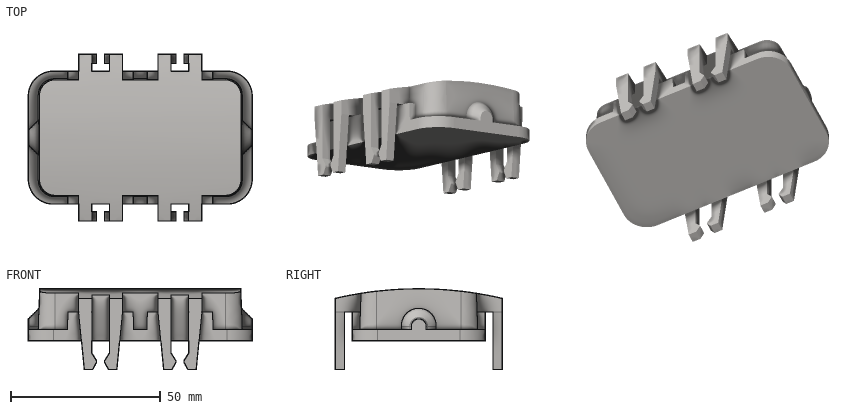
import cadquery as cq

flange_length = 75.2
flange_width = 44.7
flange_height = 3.75
flange_corner_radius = 8.5

body_length = 68.4
body_width = 39.55
body_corner_radius = 5.6
body_draft = 2

crown_height = 17.5
roof_edge_height = 14.3
overall_width = 56.0

clip_offset = 13.3
arm_outer = 7.4
arm_inner = 2.9
arm_underside = 9.6
leg_thickness = 3.15
leg_bottom = -9.6
foot_outer = 5.5
foot_inner = 2.6
barb_reach = 1.3
barb_start = -4.05
barb_tip_center = -6.9
barb_tip_flat = 0.4

tooth_base = 11.1
tooth_top = 10.9

stud_axis_height = 4.9
stud_root_radius = 5.9
stud_root = 34.15
stud_shoulder_radius = 2.9
stud_shoulder = 37.1
stud_tip_radius = 2.5
stud_tip = flange_length / 2

flange_edge = flange_width / 2
clip_edge = overall_width / 2
roof_rise = crown_height - roof_edge_height
roof_radius = (clip_edge**2 + roof_rise**2) / (2 * roof_rise)


def extrude_y(points, y_start, y_end):
    """Extrude a closed XZ outline between two Y positions."""
    outline = cq.Workplane("XZ", origin=(0, y_end, 0)).polyline(points).close()
    return outline.extrude(y_end - y_start)


def make_flange():
    blank = cq.Workplane("XY").box(flange_length, flange_width, flange_height, centered=(True, True, False))
    return blank.edges("|Z").fillet(flange_corner_radius)


def make_body():
    """Tapered cover, left taller than the roof so the dome can trim it."""
    outline = cq.Sketch().rect(body_length, body_width).vertices().fillet(body_corner_radius)
    base = cq.Workplane("XY").workplane(offset=flange_height)
    return base.placeSketch(outline).extrude(crown_height - flange_height, taper=body_draft)


def make_tooth(x_center):
    points = [
        (x_center - tooth_base, flange_height),
        (x_center + tooth_base, flange_height),
        (x_center + tooth_top, arm_underside),
        (x_center - tooth_top, arm_underside),
    ]
    return extrude_y(points, 0, flange_edge)


def make_bridge(x_center):
    """Wall behind the clip and the two arms that carry its legs."""
    height = crown_height - flange_height
    wall = cq.Workplane("XY").box(2 * arm_outer, flange_edge, height, centered=(True, False, False))
    wall = wall.translate((x_center, 0, flange_height))
    arm_width = arm_outer - arm_inner
    arm_height = crown_height - arm_underside
    for side in (-1, 1):
        arm = cq.Workplane("XY").box(arm_width, clip_edge, arm_height, centered=(True, False, False))
        arm_x = x_center + side * (arm_outer + arm_inner) / 2
        wall = wall.union(arm.translate((arm_x, 0, arm_underside)))
    return wall


def make_leg(x_center, side):
    """Tapered leg with an inward barb; side picks which half of the clip."""
    profile = [
        (arm_outer, arm_underside),
        (foot_outer, leg_bottom),
        (foot_inner, leg_bottom),
        (barb_reach, barb_tip_center - barb_tip_flat / 2),
        (barb_reach, barb_tip_center + barb_tip_flat / 2),
        (arm_inner, barb_start),
        (arm_inner, arm_underside),
    ]
    points = [(x_center + side * x, z) for x, z in profile]
    return extrude_y(points, clip_edge - leg_thickness, clip_edge)


def make_clip(x_center):
    clip = make_tooth(x_center).union(make_bridge(x_center))
    for side in (-1, 1):
        clip = clip.union(make_leg(x_center, side))
    return clip


def make_stud():
    """Half-round cone on the +X end, carried straight down to the flange."""
    slope = (stud_root_radius - stud_shoulder_radius) / (stud_shoulder - stud_root)
    buried_root = body_length / 2 - stud_root_radius
    buried_radius = stud_root_radius + slope * (stud_root - buried_root)
    sections = [
        (buried_root, buried_radius),
        (stud_shoulder, stud_shoulder_radius),
        (stud_tip, stud_tip_radius),
    ]
    right_side = [(x, -r) for x, r in sections]
    left_side = [(x, r) for x, r in reversed(sections)]
    skirt = (
        cq.Workplane("XY")
        .polyline(right_side + left_side)
        .close()
        .extrude(stud_axis_height)
    )
    half_outline = [(buried_root, 0)] + sections + [(stud_tip, 0)]
    dome = (
        cq.Workplane("XY")
        .polyline(half_outline)
        .close()
        .revolve(180, (0, 0, 0), (1, 0, 0))
        .translate((0, 0, stud_axis_height))
    )
    return skirt.union(dome)


def make_roof_envelope():
    """Everything under the roof arc, used to trim the cover and clips."""
    return (
        cq.Workplane("YZ", origin=(-flange_length / 2, 0, 0))
        .moveTo(-clip_edge, leg_bottom)
        .lineTo(clip_edge, leg_bottom)
        .lineTo(clip_edge, roof_edge_height)
        .radiusArc((-clip_edge, roof_edge_height), -roof_radius)
        .close()
        .extrude(flange_length)
    )


part = make_flange().union(make_body())

for clip_x in (-clip_offset, clip_offset):
    clip = make_clip(clip_x)
    part = part.union(clip).union(clip.mirror("XZ"))

stud = make_stud()
part = part.union(stud).union(stud.mirror("YZ"))

result = part.intersect(make_roof_envelope())